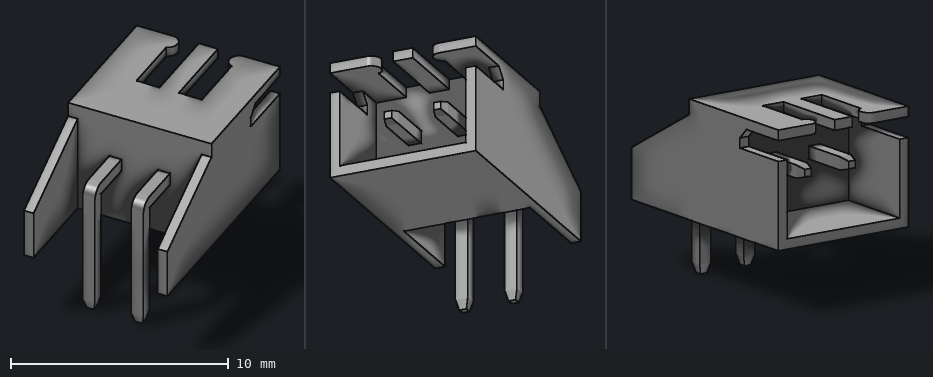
import cadquery as cq
import math

shell_width = 7.4
shell_height = 5.75
total_length = 11.5
wing_length = 4.5
wall = 0.51
mating_y = total_length / 2
tail_y = -total_length / 2
shell_back_y = tail_y + wing_length

cavity_depth = 4.0

wing_tall = 5.0
wing_short = 2.5

notch_length = 3.0
notch_bottom = 4.25
notch_top = shell_height - wall
notch_chamfer = 0.51

prong_width = 1.0
slot_outer_x = 1.68
bump_radius = 0.5
bump_x = 1.83

pin_size = 0.63
pin_tip_size = 0.37
pin_taper = 0.5
pin_pitch = 2.5
pin_top_z = 3.44
pin_bottom_z = -3.4
pin_front_y = mating_y - 1.06
pin_leg_y = tail_y + 2.09
pin_axis_z = pin_top_z - pin_size / 2


def box(x_range, y_range, z_range):
    """Box spanning the given minimum and maximum on each axis."""
    sizes = [high - low for low, high in (x_range, y_range, z_range)]
    corner = (x_range[0], y_range[0], z_range[0])
    return cq.Workplane("XY").box(*sizes, centered=False).translate(corner)


def make_wing(side):
    """Thin wing with a sloping top edge, flush with one side of the shell."""
    outline = [
        (shell_back_y, 0),
        (tail_y, 0),
        (tail_y, wing_short),
        (shell_back_y, wing_tall),
    ]
    start_x = -shell_width / 2 if side < 0 else shell_width / 2 - wall
    return cq.Workplane("YZ").workplane(offset=start_x).polyline(outline).close().extrude(wall)


def make_side_notch():
    """Cutter through both side walls, with its inner top corner chamfered."""
    inner_y = mating_y - notch_length
    outline = [
        (mating_y, notch_bottom),
        (inner_y, notch_bottom),
        (inner_y, notch_top - notch_chamfer),
        (inner_y + notch_chamfer, notch_top),
        (mating_y, notch_top),
    ]
    return cq.Workplane("YZ").polyline(outline).close().extrude(shell_width / 2, both=True)


def make_roof_slot(side):
    """Slot cutter whose outer edge is pinched by a round bump at the mating end."""
    bump_y = mating_y - bump_radius
    reach = slot_outer_x - bump_x
    bump_end_y = bump_y - math.sqrt(bump_radius**2 - reach**2)
    inner_x = prong_width / 2
    slot_end_y = mating_y - cavity_depth
    return (
        cq.Workplane("XY")
        .workplane(offset=notch_top)
        .moveTo(side * inner_x, mating_y)
        .lineTo(side * inner_x, slot_end_y)
        .lineTo(side * slot_outer_x, slot_end_y)
        .lineTo(side * slot_outer_x, bump_end_y)
        .threePointArc((side * (bump_x - bump_radius), bump_y), (side * bump_x, mating_y))
        .close()
        .extrude(wall)
    )


def make_taper(origin, normal):
    """Tapered pin end, starting at full size and narrowing along the normal."""
    plane = cq.Plane(origin=origin, xDir=(1, 0, 0), normal=normal)
    return (
        cq.Workplane(plane)
        .rect(pin_size, pin_size)
        .workplane(offset=pin_taper)
        .rect(pin_tip_size, pin_tip_size)
        .loft(combine=True)
    )


def make_pin(x):
    """L-shaped square pin with a rounded outer bend and two tapered ends."""
    half = pin_size / 2
    leg_front_y = pin_leg_y - half
    leg_back_y = pin_leg_y + half
    arm_bottom_z = pin_top_z - pin_size
    arm_end_y = pin_front_y - pin_taper
    leg_end_z = pin_bottom_z + pin_taper
    bent = (
        cq.Workplane("YZ")
        .workplane(offset=x - half)
        .moveTo(arm_end_y, pin_top_z)
        .lineTo(leg_back_y, pin_top_z)
        .radiusArc((leg_front_y, arm_bottom_z), -pin_size)
        .lineTo(leg_front_y, leg_end_z)
        .lineTo(leg_back_y, leg_end_z)
        .lineTo(leg_back_y, arm_bottom_z)
        .lineTo(arm_end_y, arm_bottom_z)
        .close()
        .extrude(pin_size)
    )
    arm_tip = make_taper((x, arm_end_y, pin_axis_z), (0, 1, 0))
    leg_tip = make_taper((x, pin_leg_y, leg_end_z), (0, 0, -1))
    return bent.union(arm_tip).union(leg_tip)


def make_housing(pins):
    """Shell with its cavity, wings, notches, slots and matching pin holes."""
    half = shell_width / 2
    housing = box((-half, half), (shell_back_y, mating_y), (0, shell_height))
    housing = housing.cut(
        box(
            (wall - half, half - wall),
            (mating_y - cavity_depth, mating_y),
            (wall, notch_top),
        )
    )
    housing = housing.cut(make_side_notch())
    for side in (-1, 1):
        housing = housing.union(make_wing(side))
        housing = housing.cut(make_roof_slot(side))
    for pin in pins:
        housing = housing.cut(pin)
    return housing


pins = [make_pin(side * pin_pitch / 2) for side in (-1, 1)]
housing = make_housing(pins)

result = cq.Compound.makeCompound([housing.val(), *[pin.val() for pin in pins]])